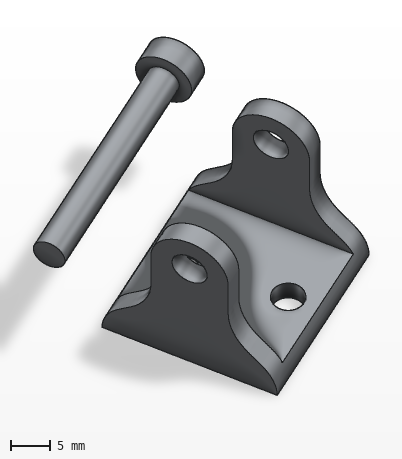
import cadquery as cq
import math

BASE_WIDTH = 25.0
BRACKET_DEPTH = 26.0
BRACKET_HEIGHT = 23.65
PLATE_THICKNESS = 2.95
LUG_THICKNESS = 3.0
LUG_WIDTH = 11.0
FOOT_RADIUS = 6.2
NECK_RADIUS = 8.0
NECK_TOP_Z = 12.45
PIN_AXIS_Z = 18.45
LUG_HOLE_DIAMETER = 5.0
SCREW_HOLE_DIAMETER = 4.5
SCREW_HOLE_SPACING = 15.0

PIN_LENGTH = 36.0
PIN_DIAMETER = 4.5
HEAD_DIAMETER = 8.0
HEAD_LENGTH = 3.65
PIN_AXIS_X = -17.03
HEAD_OVERHANG = 4.05


def point_on_circle(center, radius, angle):
    return (center[0] + radius * math.cos(angle), center[1] + radius * math.sin(angle))


def mirrored(point):
    return (-point[0], point[1])


def lug_profile():
    """Lug outline in XZ: round top, concave necks and convex feet joined by tangent lines."""
    half_base = BASE_WIDTH / 2
    half_lug = LUG_WIDTH / 2
    round_top_z = BRACKET_HEIGHT - half_lug
    foot_center = (half_base - FOOT_RADIUS, 0)
    neck_center = (half_lug + NECK_RADIUS, NECK_TOP_Z)

    run = neck_center[0] - foot_center[0]
    rise = neck_center[1] - foot_center[1]
    center_distance = math.hypot(run, rise)
    normal_angle = math.atan2(rise, run) - math.acos((FOOT_RADIUS + NECK_RADIUS) / center_distance)

    foot_start = (half_base, 0)
    foot_middle = point_on_circle(foot_center, FOOT_RADIUS, normal_angle / 2)
    foot_end = point_on_circle(foot_center, FOOT_RADIUS, normal_angle)
    neck_start = point_on_circle(neck_center, NECK_RADIUS, math.pi + normal_angle)
    neck_middle = point_on_circle(neck_center, NECK_RADIUS, math.pi + normal_angle / 2)
    neck_end = (half_lug, NECK_TOP_Z)

    return (
        cq.Workplane("XZ", origin=(0, BRACKET_DEPTH / 2, 0))
        .moveTo(*foot_start)
        .threePointArc(foot_middle, foot_end)
        .lineTo(*neck_start)
        .threePointArc(neck_middle, neck_end)
        .lineTo(half_lug, round_top_z)
        .threePointArc((0, BRACKET_HEIGHT), (-half_lug, round_top_z))
        .lineTo(*mirrored(neck_end))
        .threePointArc(mirrored(neck_middle), mirrored(neck_start))
        .lineTo(*mirrored(foot_end))
        .threePointArc(mirrored(foot_middle), mirrored(foot_start))
        .close()
    )


def make_bracket():
    body = lug_profile().extrude(BRACKET_DEPTH)

    lug_gap = BRACKET_DEPTH - 2 * LUG_THICKNESS
    gap = cq.Workplane("XY", origin=(0, 0, PLATE_THICKNESS)).box(
        BASE_WIDTH, lug_gap, BRACKET_HEIGHT, centered=(True, True, False)
    )

    pin_hole = (
        cq.Workplane("XZ", origin=(0, BRACKET_DEPTH / 2, PIN_AXIS_Z))
        .circle(LUG_HOLE_DIAMETER / 2)
        .extrude(BRACKET_DEPTH)
    )

    screw_holes = (
        cq.Workplane("XY")
        .rarray(SCREW_HOLE_SPACING, 0.35, 2, 1)
        .circle(SCREW_HOLE_DIAMETER / 2)
        .extrude(PLATE_THICKNESS)
    )
    return body.cut(gap).cut(pin_hole).cut(screw_holes)


def make_pin():
    head_end_y = BRACKET_DEPTH / 2 + HEAD_OVERHANG
    head_plane = cq.Workplane("XZ", origin=(PIN_AXIS_X, head_end_y, PIN_AXIS_Z))
    head = head_plane.circle(HEAD_DIAMETER / 2).extrude(HEAD_LENGTH)
    shank = head_plane.circle(PIN_DIAMETER / 2).extrude(PIN_LENGTH)
    return head.union(shank)


bracket = make_bracket()
pin = make_pin()

result = cq.Compound.makeCompound([bracket.solids().val(), pin.solids().val()])